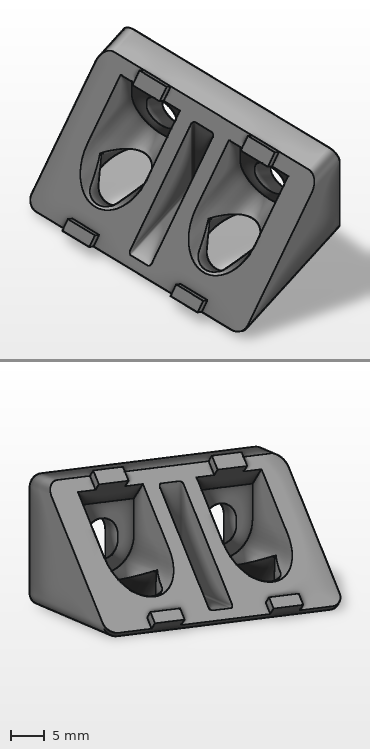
import cadquery as cq
import math

WIDTH = 40
HEIGHT = 20
BASE_DEPTH = 23.6
TOE_HEIGHT = 0.7
CORNER_RADIUS = 2
WALL = 4

TAB_WIDTH = 5.0
TAB_HEIGHT = 1.5
TOP_TAB_LENGTH = 2.5
TOE_TAB_LENGTH = 2

STATION_X = 10
POCKET_RADIUS = 5.5
POCKET_AXIS_HEIGHT = 10
SCREW_HOLE_RADIUS = 2.75
BACK_HOLE_UPPER_CENTRE = 10.3
BACK_HOLE_LOWER_CENTRE = 9.5
TILTED_HOLE_UP_SLOPE = 8.5
FLARE_ANGLE = 22

SLOT_WIDTH = 4
SLOT_BACK = 7.0
SLOT_FLOOR = 2
SLOT_EDGE_RADIUS = 0.5

TOE_DEPTH = BASE_DEPTH + TOE_HEIGHT
SLOPE_RISE = HEIGHT - TOE_HEIGHT
SLOPE_LENGTH = SLOPE_RISE * math.sqrt(2)
CREST_DEPTH = TOE_DEPTH - SLOPE_RISE
SLOPE_SUM = TOE_DEPTH + TOE_HEIGHT
REACH = 2 * WIDTH


def slope_plane(x=0, up_slope=0):
    """Plane on the sloped face: local y runs up the slope, the normal points outward."""
    rise = up_slope / math.sqrt(2)
    origin = (x, rise - TOE_DEPTH, rise + TOE_HEIGHT)
    return cq.Workplane(cq.Plane(origin=origin, xDir=(1, 0, 0), normal=(0, -1, 1)))


def side_prism(points, width):
    """Prism with a (y, z) outline, centred on x = 0."""
    return cq.Workplane("YZ").polyline(points).close().extrude(width / 2, both=True)


def body():
    block = (
        cq.Workplane("XY")
        .box(WIDTH, TOE_DEPTH, HEIGHT, centered=(True, True, False))
        .translate((0, -TOE_DEPTH / 2, 0))
        .edges("|Y")
        .fillet(CORNER_RADIUS)
    )
    envelope_length = 2 * SLOPE_LENGTH
    envelope = (
        slope_plane()
        .center(0, envelope_length / 2)
        .rect(WIDTH, envelope_length)
        .extrude(-REACH)
        .edges(cq.selectors.ParallelDirSelector(cq.Vector(0, -1, 1)))
        .fillet(CORNER_RADIUS)
    )
    return block.intersect(envelope)


def tab(x, start, length):
    """Square-edged tab on the sloped face, from a start measured up the slope."""
    return slope_plane(x, start + length / 2).rect(TAB_WIDTH, length).extrude(TAB_HEIGHT)


def horizontal_pocket(x):
    """Round-bottomed pocket in front of the back wall; its ceiling is square to the slope."""
    ceiling_sum = CREST_DEPTH - HEIGHT + TOP_TAB_LENGTH * math.sqrt(2)
    ceiling_at_wall = WALL - ceiling_sum
    top_front = TOE_DEPTH + HEIGHT
    straight = side_prism(
        [
            (-WALL, POCKET_AXIS_HEIGHT),
            (-WALL, ceiling_at_wall),
            (-top_front, top_front - ceiling_sum),
            (-top_front, POCKET_AXIS_HEIGHT),
        ],
        2 * POCKET_RADIUS,
    ).translate((x, 0, 0))
    round_bottom = (
        cq.Workplane("XZ", origin=(x, -WALL, POCKET_AXIS_HEIGHT)).circle(POCKET_RADIUS).extrude(TOE_DEPTH)
    )
    return straight.union(round_bottom)


def upright_slot(x, y, lower_centre, upper_centre):
    """Closed outline of an upright round-ended slot in the plane at y."""
    radius = SCREW_HOLE_RADIUS
    return (
        cq.Workplane("XZ", origin=(x, y, 0))
        .moveTo(radius, lower_centre)
        .lineTo(radius, upper_centre)
        .threePointArc((0, upper_centre + radius), (-radius, upper_centre))
        .lineTo(-radius, lower_centre)
        .threePointArc((0, lower_centre - radius), (radius, lower_centre))
        .wire()
        .val()
    )


def back_screw_hole(x):
    """Slot through the back wall; its lower end drops at 45 degrees toward the back face."""
    inner = upright_slot(x, -WALL, BACK_HOLE_LOWER_CENTRE, BACK_HOLE_UPPER_CENTRE)
    outer = upright_slot(x, 0, BACK_HOLE_LOWER_CENTRE - WALL, BACK_HOLE_UPPER_CENTRE)
    return cq.Workplane(cq.Solid.makeLoft([inner, outer], True))


def tilted_screw_hole(x):
    """Hole square to the slope, flared up the slope, with a wide bore below the wall."""
    plane = slope_plane(x, TILTED_HOLE_UP_SLOPE)
    flare = math.radians(FLARE_ANGLE)
    tangent_x = SCREW_HOLE_RADIUS * math.cos(flare)
    tangent_y = -SCREW_HOLE_RADIUS * math.sin(flare)
    side_length = math.sqrt(POCKET_RADIUS**2 - SCREW_HOLE_RADIUS**2)
    end_x = tangent_x + side_length * math.sin(flare)
    end_y = tangent_y + side_length * math.cos(flare)
    flared_hole = (
        plane.moveTo(-tangent_x, tangent_y)
        .threePointArc((0, -SCREW_HOLE_RADIUS), (tangent_x, tangent_y))
        .lineTo(end_x, end_y)
        .lineTo(-end_x, end_y)
        .close()
        .extrude(-WALL)
    )
    wide_bore = plane.workplane(offset=-WALL).circle(POCKET_RADIUS).extrude(-REACH)
    return flared_hole.union(wide_bore)


def middle_slot():
    """Slot sunk into the slope, with an upright back, a level floor and rounded inner edges."""
    front = SLOPE_SUM + WALL
    blank = side_prism(
        [(-SLOT_BACK, SLOT_FLOOR), (-SLOT_BACK, front - SLOT_BACK), (SLOT_FLOOR - front, SLOT_FLOOR)],
        SLOT_WIDTH,
    )
    return blank.edges().fillet(SLOT_EDGE_RADIUS)


result = body().cut(middle_slot())
for station_x in (-STATION_X, STATION_X):
    result = (
        result.cut(horizontal_pocket(station_x))
        .cut(back_screw_hole(station_x))
        .cut(tilted_screw_hole(station_x))
        .union(tab(station_x, 0, TOE_TAB_LENGTH))
        .union(tab(station_x, SLOPE_LENGTH - TOP_TAB_LENGTH, TOP_TAB_LENGTH))
    )